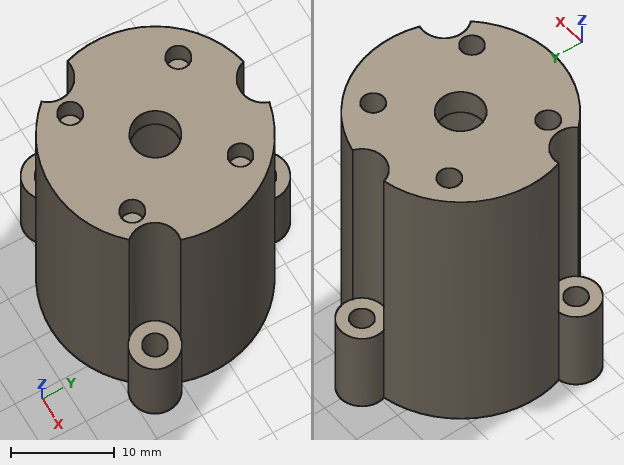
import cadquery as cq
import math

total_height = 32.0
base_height = 10.0
cap_thickness = 3.0

body_diameter = 23.0
bore_diameter = 5.0
wide_bore_diameter = 9.0

lug_count = 3
lug_diameter = 5.2
lug_hole_diameter = 2.5
lug_circle_radius = 12.0
first_lug_angle = 90.0

top_hole_diameter = 2.5
top_hole_spacing = 12.0
top_hole_depth = cap_thickness


def lug_centers():
    """XY centers of the lugs, evenly spaced around the body axis."""
    angles = [math.radians(first_lug_angle + i * 360.0 / lug_count) for i in range(lug_count)]
    return [(lug_circle_radius * math.cos(a), lug_circle_radius * math.sin(a)) for a in angles]


def lug_cylinders(diameter, bottom, height):
    """Upright cylinders on the lug axes."""
    return (
        cq.Workplane("XY", origin=(0, 0, bottom))
        .pushPoints(lug_centers())
        .circle(diameter / 2)
        .extrude(height)
    )


body = cq.Workplane("XY").circle(body_diameter / 2).extrude(total_height)
body = body.union(lug_cylinders(lug_diameter, 0, base_height))

body = body.cut(lug_cylinders(lug_diameter, base_height, total_height - base_height))
body = body.cut(lug_cylinders(lug_hole_diameter, 0, base_height))

body = body.cut(cq.Workplane("XY").circle(bore_diameter / 2).extrude(total_height))
wide_bore = cq.Workplane("XY").circle(wide_bore_diameter / 2).extrude(total_height - cap_thickness)
body = body.cut(wide_bore)

top_holes = (
    cq.Workplane("XY", origin=(0, 0, total_height - top_hole_depth))
    .rect(top_hole_spacing, top_hole_spacing, forConstruction=True)
    .vertices()
    .circle(top_hole_diameter / 2)
    .extrude(top_hole_depth)
)
result = body.cut(top_holes)